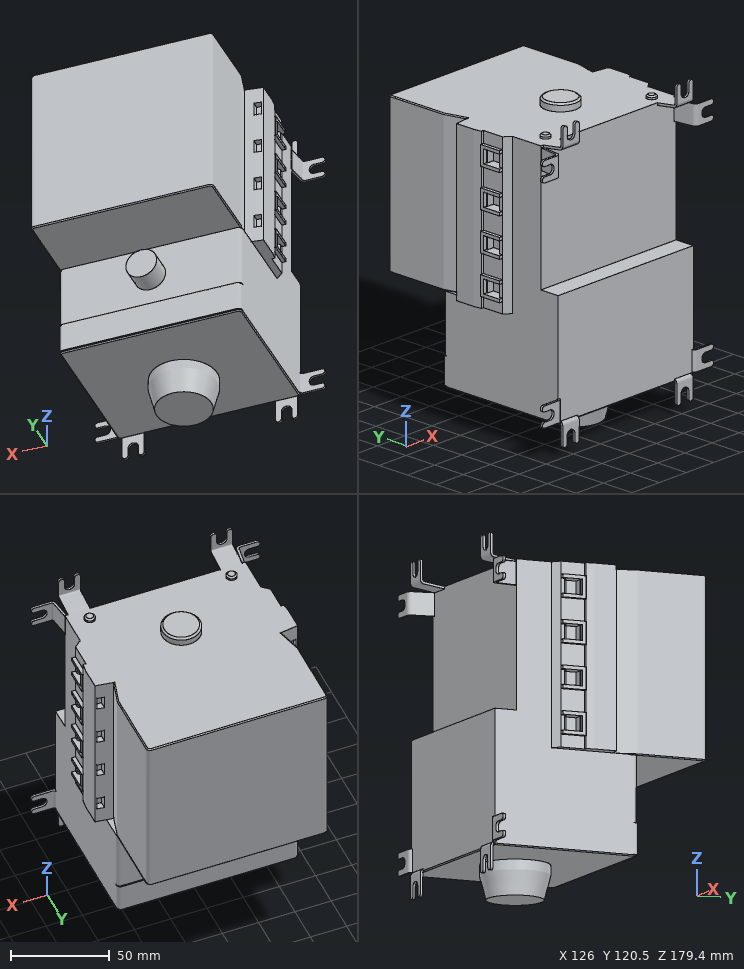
import cadquery as cq
import math

HALF_WIDTH = 49.8
WING_HALF_WIDTH = 56.0
HEIGHT = 148.1
UPPER_BOTTOM = 52.2
STEP_TOP = 70.1
LOWER_BACK = 1.6
UPPER_BACK = 13.6
LOWER_FRONT = 81.5
COVER_FRONT = 120.5
UPPER_HEIGHT = HEIGHT - UPPER_BOTTOM
CORNER_RADIUS = 2.2
EDGE_CHAMFER = 0.63

WING_BACK = 36.8
CHANNEL_FRONT = 50.0
BEVEL_FRONT = 54.5
BEVEL_DEPTH = 0.5
CHANNEL_DEPTH = 2.2
CHANNEL_FLOOR = WING_HALF_WIDTH - CHANNEL_DEPTH
WING_FOOT = 33.3
WING_FRONT = 66.7
SHOULDER_FRONT = 68.1
NOTCH_HALF_WIDTH = 46.3

TERMINAL_COUNT = 4
TERMINAL_PITCH = 23.5
TERMINAL_HEIGHT = 11.8
LOWEST_TERMINAL = 64.7
WINDOW_HEIGHT = 8.0
WINDOW_FRONT = 47.9
WINDOW_DEPTH = 6.6
LEDGE_WIDTH = 0.5
RAMP_FRONT = 40.7
RAMP_LENGTH = 2.0
ACCESS_INNER = 51.0
ACCESS_OUTER = 54.9
ACCESS_HEIGHT = 7.4
ACCESS_BOTTOM = 63.5

SPIGOT_Y = 36.2
SPIGOT_RADIUS = 18.1
SPIGOT_TIP_RADIUS = 14.9
SPIGOT_COLLAR = 5.4
SPIGOT_LENGTH = 18.0
BUTTON_Y = 47.2
BUTTON_RADIUS = 10.4
BUTTON_HEIGHT = 4.7
BUTTON_CHAMFER = 1.0
SCREW_X = 39.0
SCREW_Y = 20.6
SCREW_RADIUS = 2.9
SCREW_HEIGHT = 2.0
SCREW_CHAMFER = 0.9
KNOB_Z = 34.8
KNOB_RADIUS = 8.5
KNOB_LENGTH = 12.0

PANEL_BOTTOM = 0.9
PANEL_TOP = 17.2
PANEL_THICKNESS = 0.7

OVERALL_WIDTH = 126.0
BRACKET_WIDTH = 12.2
BRACKET_THICKNESS = 1.5
BEND_RADIUS = 2.5
SIDE_TIP = OVERALL_WIDTH / 2
TOP_TIP = 161.4
BOTTOM_TIP = -12.7
END_BRACKET_X = 42.0
UPPER_SIDE_BRACKET_Z = 140.8
LOWER_SIDE_BRACKET_Z = 7.9
ARM_RISE = 1.6
UPPER_SIDE_ARM_SINK = 0.4
BOTTOM_ARM_SINK = 0.4
LOWER_ARM_END = 3.5
SLOT_WIDTH = 5.5
SLOT_DEPTH = 8.6
TIP_RADIUS = 1.6


def box(x_range, y_range, z_range):
    """Box between the given limits."""
    (x0, x1), (y0, y1), (z0, z1) = x_range, y_range, z_range
    return cq.Workplane("XY").box(x1 - x0, y1 - y0, z1 - z0, centered=False).translate((x0, y0, z0))


def mirrored_prism(right_side, bottom, height):
    """Prism over an outline given by its right half, from back to front."""
    left_side = [(-x, y) for x, y in reversed(right_side)]
    outline = cq.Workplane("XY").workplane(offset=bottom).polyline(right_side + left_side).close()
    return outline.extrude(height)


def lower_housing():
    body = box((-HALF_WIDTH, HALF_WIDTH), (LOWER_BACK, LOWER_FRONT), (0, UPPER_BOTTOM))
    body = body.edges("|Z and >Y").fillet(CORNER_RADIUS)
    body = body.faces("<Z").edges().chamfer(EDGE_CHAMFER)
    step = box((-HALF_WIDTH, HALF_WIDTH), (LOWER_BACK, UPPER_BACK), (UPPER_BOTTOM, STEP_TOP))
    panel = box(
        (-HALF_WIDTH, HALF_WIDTH),
        (LOWER_FRONT - CORNER_RADIUS, LOWER_FRONT + PANEL_THICKNESS),
        (PANEL_BOTTOM, PANEL_TOP),
    )
    panel = panel.edges("|Z and >Y").fillet(CORNER_RADIUS)
    return body.union(step).union(panel)


def wing_section():
    outline = [
        (HALF_WIDTH, UPPER_BACK),
        (HALF_WIDTH, WING_FOOT),
        (CHANNEL_FLOOR, WING_BACK),
        (CHANNEL_FLOOR, CHANNEL_FRONT),
        (WING_HALF_WIDTH - BEVEL_DEPTH, CHANNEL_FRONT),
        (WING_HALF_WIDTH, BEVEL_FRONT),
        (WING_HALF_WIDTH, WING_FRONT),
        (NOTCH_HALF_WIDTH, SHOULDER_FRONT),
    ]
    return mirrored_prism(outline, UPPER_BOTTOM, UPPER_HEIGHT)


def front_cover():
    outline = [
        (NOTCH_HALF_WIDTH, SHOULDER_FRONT),
        (HALF_WIDTH, LOWER_FRONT),
        (HALF_WIDTH, COVER_FRONT),
    ]
    cover = mirrored_prism(outline, UPPER_BOTTOM, UPPER_HEIGHT)
    cover = cover.edges("|Z and >Y").fillet(CORNER_RADIUS)
    return cover.faces("|Z").edges("not <Y").chamfer(EDGE_CHAMFER)


def terminal(z):
    """Solid block filling the right-hand channel; its window is cut separately."""
    z_range = (z - TERMINAL_HEIGHT / 2, z + TERMINAL_HEIGHT / 2)
    return box((CHANNEL_FLOOR, WING_HALF_WIDTH), (WING_BACK, CHANNEL_FRONT), z_range)


def terminal_window(z):
    """Right-hand window: a notch down to the channel floor, open at the back, with a deeper pocket.

    The pocket's back wall curves up to the channel floor.
    """
    floor = WING_HALF_WIDTH - WINDOW_DEPTH
    ramp_rise = CHANNEL_FLOOR - floor
    diagonal = math.sin(math.pi / 4)
    ramp_back = RAMP_FRONT - RAMP_LENGTH
    pocket_front = WINDOW_FRONT - LEDGE_WIDTH
    ramp_middle = (
        floor + ramp_rise * diagonal,
        RAMP_FRONT - RAMP_LENGTH * (1 - diagonal),
    )
    return (
        cq.Workplane("XY")
        .workplane(offset=z - WINDOW_HEIGHT / 2)
        .moveTo(WING_HALF_WIDTH, WINDOW_FRONT)
        .lineTo(CHANNEL_FLOOR, WINDOW_FRONT)
        .lineTo(CHANNEL_FLOOR, pocket_front)
        .lineTo(floor, pocket_front)
        .lineTo(floor, RAMP_FRONT)
        .threePointArc(ramp_middle, (CHANNEL_FLOOR, ramp_back))
        .lineTo(CHANNEL_FLOOR, WING_BACK)
        .lineTo(WING_HALF_WIDTH, WING_BACK)
        .close()
        .extrude(WINDOW_HEIGHT)
    )


def access_slot(z):
    """Shallow slot in the front-facing shoulder of the right wing."""
    z_range = (z - ACCESS_HEIGHT / 2, z + ACCESS_HEIGHT / 2)
    return box((ACCESS_INNER, ACCESS_OUTER), (ACCESS_BOTTOM, SHOULDER_FRONT), z_range)


def add_terminals(body):
    for index in range(TERMINAL_COUNT):
        z = LOWEST_TERMINAL + index * TERMINAL_PITCH
        block = terminal(z)
        cutout = terminal_window(z).union(access_slot(z))
        body = body.union(block).union(block.mirror("YZ"))
        body = body.cut(cutout).cut(cutout.mirror("YZ"))
    return body


def spigot():
    half_outline = [
        (0, 0),
        (SPIGOT_RADIUS, 0),
        (SPIGOT_RADIUS, -SPIGOT_COLLAR),
        (SPIGOT_TIP_RADIUS, -SPIGOT_LENGTH),
        (0, -SPIGOT_LENGTH),
    ]
    turned = cq.Workplane("XZ").polyline(half_outline).close().revolve(360, (0, 0, 0), (0, 1, 0))
    return turned.translate((0, SPIGOT_Y, 0))


def top_stud(x, y, radius, height, chamfer):
    stud = cq.Workplane("XY").circle(radius).extrude(height)
    return stud.faces(">Z").chamfer(chamfer).translate((x, y, HEIGHT))


def knob():
    return cq.Workplane("XZ", origin=(0, LOWER_FRONT, KNOB_Z)).circle(KNOB_RADIUS).extrude(-KNOB_LENGTH)


def bracket(reach, arm_end, arm_start, rise):
    """Bent lug standing out along +X from a housing face at X = 0, centred on Z = 0.

    The arm's outer face starts at X = arm_start where Y = arm_end, leans out by rise
    and bends into the lug, which lies on the mounting plane and ends at X = reach.
    """
    bend_x = arm_start + rise
    arm_x = bend_x - BRACKET_THICKNESS
    lug_start = arm_x + BEND_RADIUS
    inner_radius = BEND_RADIUS - BRACKET_THICKNESS
    diagonal = math.sin(math.pi / 4)
    profile = (
        cq.Workplane("XY")
        .workplane(offset=-BRACKET_WIDTH / 2)
        .moveTo(arm_start - BRACKET_THICKNESS, arm_end)
        .lineTo(arm_x, BEND_RADIUS)
        .threePointArc(
            (lug_start - BEND_RADIUS * diagonal, BEND_RADIUS * (1 - diagonal)),
            (lug_start, 0),
        )
        .lineTo(reach, 0)
        .lineTo(reach, BRACKET_THICKNESS)
        .lineTo(lug_start, BRACKET_THICKNESS)
        .threePointArc(
            (lug_start - inner_radius * diagonal, BEND_RADIUS - inner_radius * diagonal),
            (bend_x, BEND_RADIUS),
        )
        .lineTo(arm_start, arm_end)
        .close()
        .extrude(BRACKET_WIDTH)
    )
    slot_end = reach - SLOT_DEPTH + SLOT_WIDTH / 2
    slot = box((slot_end, reach), (0, BRACKET_THICKNESS), (-SLOT_WIDTH / 2, SLOT_WIDTH / 2))
    round_end = cq.Workplane("XZ", origin=(slot_end, 0, 0)).circle(SLOT_WIDTH / 2).extrude(-BRACKET_THICKNESS)
    return profile.cut(slot).cut(round_end).edges("|Y and >X").fillet(TIP_RADIUS)


def upper_bracket(reach, sink):
    return bracket(reach, UPPER_BACK, -sink, ARM_RISE)


def lower_bracket(reach, sink):
    return bracket(reach, LOWER_ARM_END, -sink, 0)


def mounting_brackets():
    """One bracket of each kind on the right half of the housing."""
    side_reach = SIDE_TIP - HALF_WIDTH
    upper_side = upper_bracket(side_reach, UPPER_SIDE_ARM_SINK)
    upper_side = upper_side.translate((HALF_WIDTH, 0, UPPER_SIDE_BRACKET_Z))
    lower_side = lower_bracket(side_reach, 0).translate((HALF_WIDTH, 0, LOWER_SIDE_BRACKET_Z))

    y_axis = ((0, 0, 0), (0, 1, 0))
    top = upper_bracket(TOP_TIP - HEIGHT, 0).rotate(*y_axis, -90)
    top = top.translate((END_BRACKET_X, 0, HEIGHT))
    bottom = lower_bracket(-BOTTOM_TIP, BOTTOM_ARM_SINK).rotate(*y_axis, 90)
    bottom = bottom.translate((END_BRACKET_X, 0, 0))
    return [upper_side, lower_side, top, bottom]


result = lower_housing().union(wing_section()).union(front_cover())
result = add_terminals(result)
result = result.union(spigot()).union(knob())
result = result.union(top_stud(0, BUTTON_Y, BUTTON_RADIUS, BUTTON_HEIGHT, BUTTON_CHAMFER))
for screw_x in (-SCREW_X, SCREW_X):
    result = result.union(top_stud(screw_x, SCREW_Y, SCREW_RADIUS, SCREW_HEIGHT, SCREW_CHAMFER))
for right_bracket in mounting_brackets():
    result = result.union(right_bracket).union(right_bracket.mirror("YZ"))